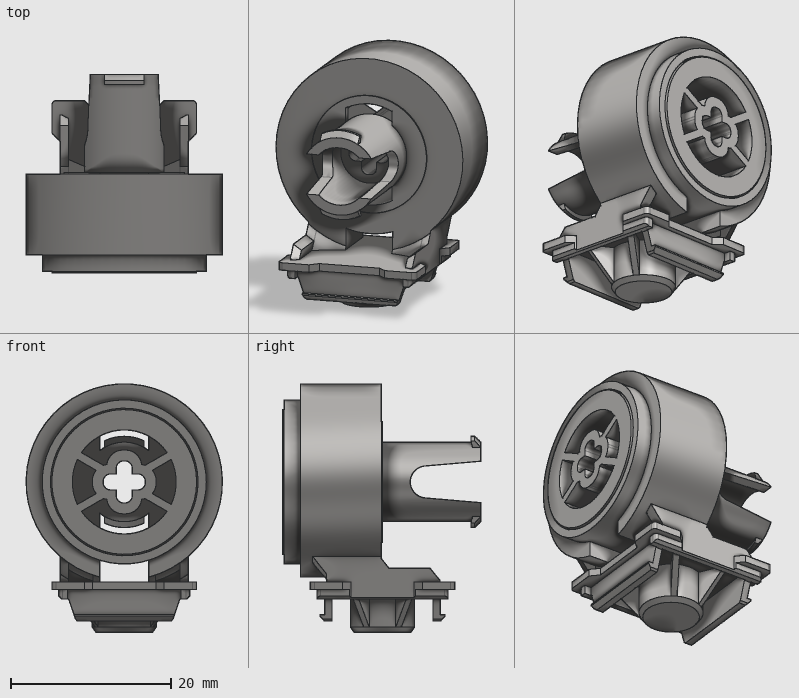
import cadquery as cq
import math


RIM_R = 12.25
CORE_R = 10.23
BOSS_R = 9.02
GROOVE_R = 9.2
BACK_STEP_R = 7.53
DRUM_BACK = -0.15
DRUM_WIDTH = 10.08
CORE_OVERHANG = 2.05
FACE_STEP = 0.2
DRUM_FRONT = DRUM_BACK - DRUM_WIDTH
CORE_FRONT = DRUM_FRONT - CORE_OVERHANG
BOSS_FRONT = CORE_FRONT - FACE_STEP
BACK_STEP = DRUM_BACK + FACE_STEP
SLOT_HALF = 3.05

POCKET_R = 6.48
FLOOR_THICKNESS = 1.0
FLOOR_FRONT = BACK_STEP - FLOOR_THICKNESS
HUB_LENGTH = 7.95
HUB_LOBE_WIDTH = 4.35
HUB_CORNER_R = 1.98
CROSS_LENGTH = 5.2
CROSS_WIDTH = 1.95
CROSS_CORNER_R = 0.87
SPOKE_ANGLE = 30
SPOKE_WIDTH = 1.0

TUBE_R = 4.95
TUBE_BORE_R = 3.7
TUBE_END = 12.28
FORK_R = 1.98
FORK_CENTER = 5.45
FORK_MOUTH_HALF = 2.57
CATCH_R = 5.7
CATCH_HALF = 2.48
CATCH_RAMP = 0.78
CATCH_LENGTH = 1.27
CATCH_UNDERCUT = 0.22

PLATE_SIDE = 18.05
PLATE_TOP = -12.45
PLATE_THICKNESS = 0.95
PLATE_BOTTOM = PLATE_TOP - PLATE_THICKNESS
PLATE_CORNER_R = 0.53
NOTCH_DEPTH = 1.02
NOTCH_HALF = 3.95
WALL_OUT = PLATE_SIDE / 2 - NOTCH_DEPTH
WALL_THICKNESS = 1.05
WALL_IN = WALL_OUT - WALL_THICKNESS
WALL_FRONT = -6.98
WALL_REAR = 7.2
RAIL_IN = 7.07
RAIL_OUT = 8.18
RAIL_BOTTOM = -14.6
RAIL_CORNER_R = 0.45
RAIL_CHAMFER = 0.37
RIB_THICKNESS = 0.87
LEDGE_R = 13.4
LEDGE_FRONT = 0.8
LEDGE_REAR = 5.92
WEB_RECESS = 0.3
WEB_FRONT = WALL_FRONT + WEB_RECESS
FRONT_CONE_R = 13.98
WEB_FACE_R = 12.95
UNDERSIDE_R = 17.05

LEG_OUT = 7.22
LEG_THICKNESS = 0.93
LEG_BOTTOM = -17.35
HOOK_REACH = 0.6
HOOK_TOP = -16.55
HOOK_NOSE = 0.2
LEG_TOP_HALF = RAIL_IN
LEG_SHOULDER_HALF = 6.95
LEG_TIP_HALF = 6.08
LEG_END_CHAMFER = 0.25

POST_R = 4.0
OVERALL_HEIGHT = 31
POST_BOTTOM = RIM_R - OVERALL_HEIGHT
POST_CHAMFER_HEIGHT = 0.65
POST_CHAMFER_WIDTH = 0.45
GUSSET_WIDTH = 0.8
GUSSET_SLOPE = 0.75


def disc(radius, y_from, y_to):
    """Solid cylinder on the Y axis."""
    return cq.Workplane("XZ", origin=(0, y_to, 0)).circle(radius).extrude(y_to - y_from)


def block(x_from, x_to, y_from, y_to, z_from, z_to):
    """Axis-aligned box given by its limits."""
    box = cq.Workplane("XY").box(x_to - x_from, y_to - y_from, z_to - z_from, centered=False)
    return box.translate((x_from, y_from, z_from))


def cross(length, width, corner_r, y_from, y_to):
    """Upright cross of two bars with rounded corners, extruded along Y."""
    bar = block(-length / 2, length / 2, y_from, y_to, -width / 2, width / 2)
    bar = bar.edges("|Y").fillet(corner_r)
    return bar.union(bar.rotate((0, 0, 0), (0, 1, 0), 90))


def revolved(points):
    """Solid of revolution about the Y axis from (radius, y) points."""
    return cq.Workplane("XY").polyline(points).close().revolve(360, (0, 0), (0, 1))


def make_drum():
    rim = disc(RIM_R, DRUM_FRONT, DRUM_BACK)
    rim = rim.cut(block(-SLOT_HALF, SLOT_HALF, DRUM_FRONT, DRUM_BACK, -RIM_R, 0))
    drum = rim.union(disc(CORE_R, CORE_FRONT, DRUM_BACK))
    drum = drum.cut(disc(GROOVE_R, CORE_FRONT, DRUM_FRONT))
    drum = drum.union(disc(BOSS_R, BOSS_FRONT, DRUM_FRONT))
    drum = drum.union(disc(BACK_STEP_R, DRUM_BACK, BACK_STEP))
    return drum.cut(disc(POCKET_R, BOSS_FRONT, FLOOR_FRONT))


def make_hub():
    hub = cross(HUB_LENGTH, HUB_LOBE_WIDTH, HUB_CORNER_R, BOSS_FRONT, FLOOR_FRONT)
    spoke_length = POCKET_R + BOSS_R
    depth = FLOOR_FRONT - BOSS_FRONT
    for angle in (SPOKE_ANGLE, -SPOKE_ANGLE):
        spoke = cq.Workplane("XY").box(spoke_length, depth, SPOKE_WIDTH)
        spoke = spoke.translate((0, BOSS_FRONT + depth / 2, 0))
        hub = hub.union(spoke.rotate((0, 0, 0), (0, 1, 0), angle))
    return hub


def make_floor_openings():
    """Windows through the pocket floor above and below the tube."""
    ring = disc(POCKET_R, FLOOR_FRONT, BACK_STEP).cut(disc(TUBE_R, FLOOR_FRONT, BACK_STEP))
    return ring.intersect(block(-SLOT_HALF, SLOT_HALF, FLOOR_FRONT, BACK_STEP, -POCKET_R, POCKET_R))


def make_tube():
    catch_front = TUBE_END - CATCH_LENGTH
    catch = revolved([
        (TUBE_BORE_R, TUBE_END),
        (TUBE_R, TUBE_END),
        (CATCH_R, TUBE_END - CATCH_RAMP),
        (CATCH_R, catch_front),
        (TUBE_R, catch_front + CATCH_UNDERCUT),
        (TUBE_BORE_R, catch_front + CATCH_UNDERCUT),
    ])
    catch = catch.intersect(block(-CATCH_HALF, CATCH_HALF, 0, TUBE_END, -CATCH_R, CATCH_R))
    tube = disc(TUBE_R, DRUM_BACK, TUBE_END).union(catch)
    tube = tube.cut(disc(TUBE_BORE_R, BACK_STEP, TUBE_END))

    run = TUBE_END - FORK_CENTER
    reach = math.hypot(run, FORK_MOUTH_HALF)
    tangent = math.atan2(FORK_MOUTH_HALF, run) + math.acos(FORK_R / reach)
    tangent_y = FORK_CENTER + FORK_R * math.cos(tangent)
    tangent_z = FORK_R * math.sin(tangent)
    fork = (
        cq.Workplane("YZ")
        .moveTo(TUBE_END, FORK_MOUTH_HALF)
        .lineTo(tangent_y, tangent_z)
        .threePointArc((FORK_CENTER - FORK_R, 0), (tangent_y, -tangent_z))
        .lineTo(TUBE_END, -FORK_MOUTH_HALF)
        .close()
        .extrude(TUBE_R, both=True)
    )
    return tube.cut(fork)


def make_supports():
    """Side walls, webs and ribs whose sloping ends are 45 degree cones about the drum axis."""
    front_tip = WALL_FRONT - (FRONT_CONE_R - RIM_R)
    ledge_rear_r = LEDGE_R + WALL_REAR - LEDGE_REAR
    rear_cone_r = LEDGE_R - (LEDGE_FRONT - DRUM_BACK)
    web_depth = UNDERSIDE_R - WEB_FACE_R
    wall = revolved([
        (CORE_R, front_tip),
        (RIM_R, front_tip),
        (FRONT_CONE_R, WALL_FRONT),
        (UNDERSIDE_R, WALL_FRONT),
        (UNDERSIDE_R, WALL_REAR),
        (ledge_rear_r, WALL_REAR),
        (LEDGE_R, LEDGE_REAR),
        (LEDGE_R, LEDGE_FRONT),
        (rear_cone_r, DRUM_BACK),
        (CORE_R, DRUM_BACK),
    ])
    web = revolved([
        (CORE_R, WEB_FRONT),
        (WEB_FACE_R, WEB_FRONT),
        (UNDERSIDE_R, WEB_FRONT + web_depth),
        (UNDERSIDE_R, DRUM_BACK + UNDERSIDE_R - rear_cone_r),
        (rear_cone_r, DRUM_BACK),
        (CORE_R, DRUM_BACK),
    ])
    rib = revolved([
        (CORE_R, WALL_FRONT),
        (UNDERSIDE_R, WALL_FRONT),
        (UNDERSIDE_R, DRUM_BACK),
        (CORE_R, DRUM_BACK),
    ])
    reach = PLATE_SIDE / 2
    side = wall.intersect(block(WALL_IN, WALL_OUT, -reach, reach, PLATE_BOTTOM, 0))
    side = side.union(web.intersect(block(SLOT_HALF, WALL_IN, -reach, reach, PLATE_TOP, 0)))
    rib_out = SLOT_HALF + RIB_THICKNESS
    side = side.union(rib.intersect(block(SLOT_HALF, rib_out, -reach, reach, PLATE_TOP, 0)))
    return side.union(side.mirror("YZ"))


def make_side_notch():
    """Notch with 45 degree ends that clears the outside of the +X wall."""
    return (
        cq.Workplane("XY", origin=(0, 0, RAIL_BOTTOM))
        .moveTo(WALL_OUT, -NOTCH_HALF)
        .lineTo(WALL_OUT + NOTCH_DEPTH, -NOTCH_HALF - NOTCH_DEPTH)
        .lineTo(WALL_OUT + NOTCH_DEPTH, NOTCH_HALF + NOTCH_DEPTH)
        .lineTo(WALL_OUT, NOTCH_HALF)
        .close()
        .extrude(PLATE_TOP - RAIL_BOTTOM)
    )


def make_plate():
    plate = cq.Workplane("XY", origin=(0, 0, PLATE_BOTTOM)).rect(PLATE_SIDE, PLATE_SIDE)
    plate = plate.extrude(PLATE_THICKNESS).edges("|Z").fillet(PLATE_CORNER_R)
    notch = make_side_notch()
    for quarter in range(4):
        plate = plate.cut(notch.rotate((0, 0, 0), (0, 0, 1), 90 * quarter))
    return plate


def make_rails():
    bevelled = (
        cq.Workplane("XZ")
        .moveTo(RAIL_IN, PLATE_BOTTOM)
        .lineTo(RAIL_OUT, PLATE_BOTTOM)
        .lineTo(RAIL_OUT, RAIL_BOTTOM + RAIL_CHAMFER)
        .lineTo(RAIL_OUT - RAIL_CHAMFER, RAIL_BOTTOM)
        .lineTo(RAIL_IN, RAIL_BOTTOM)
        .close()
        .extrude(RAIL_OUT, both=True)
    )
    rounded = block(RAIL_IN, RAIL_OUT, -RAIL_OUT, RAIL_OUT, RAIL_BOTTOM, PLATE_BOTTOM)
    rounded = rounded.edges(">X and |Z").fillet(RAIL_CORNER_R)
    rail = bevelled.intersect(rounded).cut(make_side_notch())
    return rail.union(rail.mirror("YZ"))


def make_snap_legs():
    leg = (
        cq.Workplane("YZ")
        .moveTo(-LEG_OUT, PLATE_BOTTOM)
        .lineTo(-LEG_OUT, HOOK_TOP)
        .lineTo(-LEG_OUT - HOOK_REACH, HOOK_TOP)
        .lineTo(-LEG_OUT - HOOK_REACH, HOOK_TOP - HOOK_NOSE)
        .lineTo(-LEG_OUT, LEG_BOTTOM)
        .lineTo(-LEG_OUT + LEG_THICKNESS, LEG_BOTTOM)
        .lineTo(-LEG_OUT + LEG_THICKNESS, PLATE_BOTTOM)
        .close()
        .extrude(LEG_TOP_HALF, both=True)
    )
    outline = (
        cq.Workplane("XZ")
        .polyline([
            (-LEG_TOP_HALF, PLATE_BOTTOM),
            (-LEG_TOP_HALF, RAIL_BOTTOM),
            (-LEG_SHOULDER_HALF, RAIL_BOTTOM),
            (-LEG_TIP_HALF, LEG_BOTTOM + LEG_END_CHAMFER),
            (-LEG_TIP_HALF + LEG_END_CHAMFER, LEG_BOTTOM),
            (LEG_TIP_HALF - LEG_END_CHAMFER, LEG_BOTTOM),
            (LEG_TIP_HALF, LEG_BOTTOM + LEG_END_CHAMFER),
            (LEG_SHOULDER_HALF, RAIL_BOTTOM),
            (LEG_TOP_HALF, RAIL_BOTTOM),
            (LEG_TOP_HALF, PLATE_BOTTOM),
        ])
        .close()
        .extrude(PLATE_SIDE)
    )
    leg = leg.intersect(outline)
    return leg.union(leg.mirror("XZ"))


def make_post():
    post = cq.Workplane("XY", origin=(0, 0, POST_BOTTOM)).circle(POST_R)
    post = post.extrude(PLATE_BOTTOM - POST_BOTTOM)
    post = post.faces("<Z").chamfer(POST_CHAMFER_HEIGHT, POST_CHAMFER_WIDTH)
    foot = POST_BOTTOM + POST_CHAMFER_HEIGHT
    gusset = (
        cq.Workplane("XZ")
        .moveTo(0, foot)
        .lineTo(POST_R, foot)
        .lineTo(POST_R + GUSSET_SLOPE * (PLATE_BOTTOM - foot), PLATE_BOTTOM)
        .lineTo(0, PLATE_BOTTOM)
        .close()
        .extrude(GUSSET_WIDTH / 2, both=True)
    )
    for angle in (SPOKE_ANGLE, 180 - SPOKE_ANGLE, 180 + SPOKE_ANGLE, -SPOKE_ANGLE):
        post = post.union(gusset.rotate((0, 0, 0), (0, 0, 1), angle))
    return post


result = make_drum().union(make_hub()).cut(make_floor_openings()).union(make_tube())
result = result.cut(cross(CROSS_LENGTH, CROSS_WIDTH, CROSS_CORNER_R, BOSS_FRONT, BACK_STEP))
result = result.union(make_supports()).union(make_plate()).union(make_rails())
result = result.union(make_snap_legs()).union(make_post())